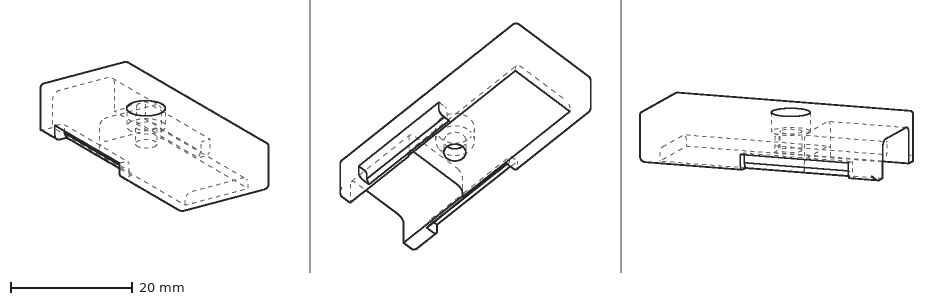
import cadquery as cq

LENGTH = 42.0
WIDTH = 18.0
HEIGHT = 8.5
EDGE_RADIUS = 1.0
END_TOP_RADIUS = 0.5

SLOT_RADIUS = 1.25

CHANNEL_WIDTH = 12.25
CHANNEL_HEIGHT = 6.35
CHANNEL_LENGTH = 13.85

POCKET_WIDTH = 12.5
POCKET_HEIGHT = 2.15
POCKET_END_WALL = (WIDTH - POCKET_WIDTH) / 2

HOLE_X = 18.5
HOLE_DIAMETER = 3.6
COUNTERBORE_DIAMETER = 6.4
COUNTERBORE_DEPTH = 3.2

RECESS_START = 5.0
RECESS_LENGTH = 19.0
RECESS_HEIGHT = 2.77
RECESS_DEPTH = 1.85
RECESS_RADIUS = 0.5
RECESS_BEVEL_HEIGHT = EDGE_RADIUS
RECESS_BEVEL_DEPTH = RECESS_BEVEL_HEIGHT / 2


def rounded_block():
    """Block resting on Z = 0, with its -X bottom edge left sharp."""
    block = cq.Workplane("XY").box(LENGTH, WIDTH, HEIGHT, centered=(False, True, False))
    block = block.edges("|Z or |X or (>X and <Z)").fillet(EDGE_RADIUS)
    return block.faces(">Z").edges("|Y").fillet(END_TOP_RADIUS)


def round_topped_slot(start, end, width, height):
    """Slot along X, open at the bottom, with rounded upper corners."""
    slot = cq.Workplane("XY").box(end - start, width, height, centered=(False, True, False))
    return slot.edges("|X and >Z").fillet(SLOT_RADIUS).translate((start, 0, 0))


def screw_hole():
    """Through hole with a counterbore from the top."""
    shank = cq.Workplane("XY").circle(HOLE_DIAMETER / 2).extrude(HEIGHT)
    head = (
        cq.Workplane("XY", origin=(0, 0, HEIGHT - COUNTERBORE_DEPTH))
        .circle(COUNTERBORE_DIAMETER / 2)
        .extrude(COUNTERBORE_DEPTH)
    )
    return shank.union(head).translate((HOLE_X, 0, 0))


def side_recess():
    """Recess in the -Y side: rounded under its roof, bevelled inward at the foot."""
    outer_y = -WIDTH / 2
    wall_y = outer_y + RECESS_DEPTH
    profile = (
        cq.Workplane("YZ", origin=(RECESS_START, 0, 0))
        .moveTo(outer_y, 0)
        .lineTo(outer_y, RECESS_HEIGHT)
        .lineTo(wall_y - RECESS_RADIUS, RECESS_HEIGHT)
        .radiusArc((wall_y, RECESS_HEIGHT - RECESS_RADIUS), RECESS_RADIUS)
        .lineTo(wall_y, RECESS_BEVEL_HEIGHT)
        .lineTo(wall_y + RECESS_BEVEL_DEPTH, 0)
        .close()
    )
    return profile.extrude(RECESS_LENGTH)


channel = round_topped_slot(0, CHANNEL_LENGTH, CHANNEL_WIDTH, CHANNEL_HEIGHT)
pocket = round_topped_slot(CHANNEL_LENGTH, LENGTH - POCKET_END_WALL, POCKET_WIDTH, POCKET_HEIGHT)
recess = side_recess()

result = (
    rounded_block()
    .cut(channel)
    .cut(pocket)
    .cut(screw_hole())
    .cut(recess)
    .cut(recess.mirror("XZ"))
)